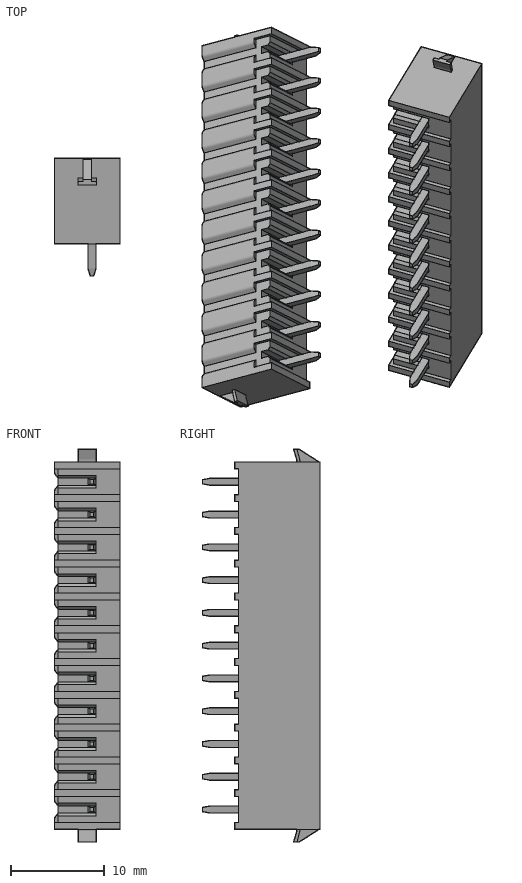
import cadquery as cq

total_height = 42.0
total_depth = 12.6
width = 7.0
left = -width / 2

pin_count = 11
body_height = 39.25
rib_thickness = 0.75
rib_depth = 0.4
body_depth = 9.15
wall_front = -(body_depth - rib_depth)
pitch = (body_height - rib_thickness) / pin_count
pin_levels = [(i - (pin_count - 1) / 2) * pitch for i in range(pin_count)]

side_depth = 0.38
groove_floor = 0.85
groove_mouth = 1.72
groove_edge_radius = 0.45
recess_back = -6.85

pin_x = 0.5
pin_width = 0.9
pin_thickness = 0.75
pin_root = -7.55
tip_length = 0.8
tip_width = 0.38
tip_thickness = 0.45

slot_right = pin_x + pin_width / 2
slot_chamfer = 0.3

latch_height = (total_height - body_height) / 2
plate_width = 1.97
plate_root_back = -2.15
plate_root_front = -2.5
plate_lean = 0.35
plate_foot = 0.2
wedge_width = 0.9
wedge_start = -0.13
wedge_peak = -2.25


def box(x, y, z):
    """Box given by its (low, high) limits along each axis."""
    size = (x[1] - x[0], y[1] - y[0], z[1] - z[0])
    return cq.Workplane("XY").box(*size, centered=False).translate((x[0], y[0], z[0]))


def side_profile(points, x_low, x_high):
    """Closed (y, z) outline extruded along X from x_low to x_high."""
    outline = cq.Workplane("YZ", origin=(x_low, 0, 0)).polyline(points).close()
    return outline.extrude(x_high - x_low)


def make_body():
    """Block whose front is cut back between the ribs, with the left side recessed there."""
    half_height = body_height / 2
    body = box((left, -left), (-body_depth, 0), (-half_height, half_height))
    half_gap = (pitch - rib_thickness) / 2
    for level in pin_levels:
        gap = (level - half_gap, level + half_gap)
        body = body.cut(box((left, -left), (-body_depth, wall_front), gap))
        body = body.cut(box((left, left + side_depth), (wall_front, recess_back), gap))
    return body


def cut_side_grooves(body):
    """Trapezoidal grooves with rounded outer edges, open at the back and into the recess."""
    floor_x = left + side_depth
    for level in pin_levels:
        corners = [
            (left, level - groove_mouth / 2),
            (floor_x, level - groove_floor / 2),
            (floor_x, level + groove_floor / 2),
            (left, level + groove_mouth / 2),
        ]
        groove = cq.Workplane("XZ").polyline(corners).close().extrude(-recess_back)
        body = body.cut(groove)
    margin = 0.005
    rib_inner_face = body_height / 2 - rib_thickness
    on_left_face = cq.selectors.BoxSelector(
        (left - margin, recess_back, -rib_inner_face),
        (left + margin, 0, rib_inner_face),
    )
    return body.edges("|Y").edges(on_left_face).fillet(groove_edge_radius)


def make_slot():
    """Front wall slot with its upper and lower mouth edges chamfered."""
    half = pin_thickness / 2
    half_mouth = half + slot_chamfer
    points = [
        (pin_root, -half),
        (wall_front + slot_chamfer, -half),
        (wall_front, -half_mouth),
        (wall_front, half_mouth),
        (wall_front + slot_chamfer, half),
        (pin_root, half),
    ]
    return side_profile(points, left, slot_right)


def make_pin():
    """Rectangular pin with a tapered tip."""
    shoulder = -(total_depth - tip_length)
    x_limits = (pin_x - pin_width / 2, pin_x + pin_width / 2)
    shank = box(x_limits, (shoulder, pin_root), (-pin_thickness / 2, pin_thickness / 2))
    tip = (
        cq.Workplane("XZ", origin=(pin_x, shoulder, 0))
        .rect(pin_width, pin_thickness)
        .workplane(offset=tip_length)
        .rect(tip_width, tip_thickness)
        .loft(ruled=True)
    )
    return shank.union(tip)


def make_top_latch():
    """Wedge rising from the back to the leaning plate, on the top face."""
    base = body_height / 2
    peak = base + latch_height
    plate = side_profile(
        [
            (plate_root_back, base),
            (plate_root_front, base),
            (plate_root_front, base + plate_foot),
            (plate_root_front - plate_lean, peak),
            (plate_root_back - plate_lean, peak),
        ],
        -plate_width / 2,
        plate_width / 2,
    )
    wedge = side_profile(
        [
            (wedge_start, base),
            (plate_root_back, base),
            (plate_root_back - plate_lean, peak),
            (wedge_peak, peak),
        ],
        -wedge_width / 2,
        wedge_width / 2,
    )
    return plate.union(wedge)


result = cut_side_grooves(make_body())

slot = make_slot()
pin = make_pin()
for level in pin_levels:
    result = result.cut(slot.translate((0, 0, level)))
    result = result.union(pin.translate((0, 0, level)))

top_latch = make_top_latch()
result = result.union(top_latch).union(top_latch.mirror("XY"))